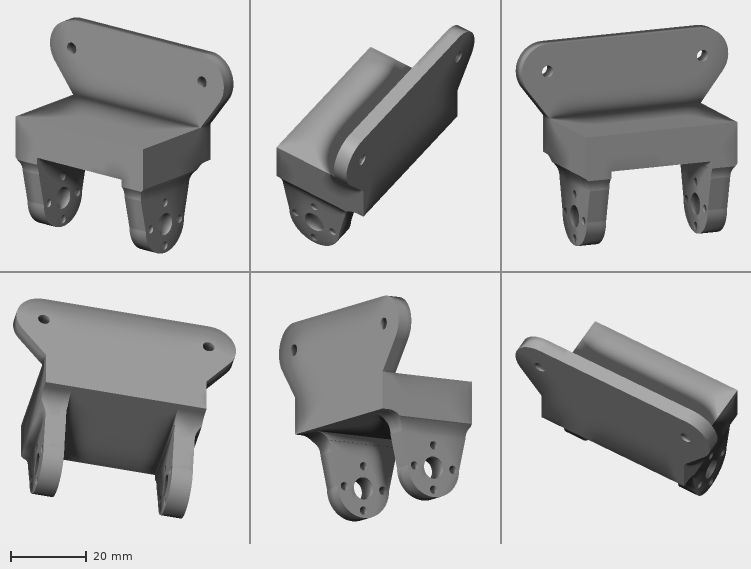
import cadquery as cq
import math

length = 60.0
depth = 28.0
height = 52.4

block_length = 44.0
block_bottom = 22.0
block_top = 32.05

plate_thickness = 4.0
plate_end_radius = 7.5
plate_hole_diameter = 3.2
plate_hole_x = length / 2 - plate_end_radius
plate_hole_z = height - plate_end_radius

lug_outer_x = 20.4
lug_inner_x = 14.75
lug_step = 0.2
lug_step_z = 20.0
lug_radius = 8.0
lug_root_half_width = 10.0
lug_center_y = -17.0
lug_center_z = lug_radius
root_radius = 5.05
root_bottom = block_bottom - root_radius

bore_diameter = 6.0
bolt_hole_diameter = 2.2
bolt_circle_radius = 6.0
bolt_count = 4

ARC_45 = math.sqrt(0.5)


def make_block():
    """Rectangular block across the middle of the part."""
    return (
        cq.Workplane("XY", origin=(0, -depth / 2, block_bottom))
        .rect(block_length, depth)
        .extrude(block_top - block_bottom)
    )


def make_plate():
    """Upright plate with round ends and sides running tangentially to the block."""
    corner_x = block_length / 2
    offset_x = corner_x - plate_hole_x
    offset_z = block_top - plate_hole_z
    corner_direction = math.atan2(offset_z, offset_x)
    tangent_angle = corner_direction + math.acos(plate_end_radius / math.hypot(offset_x, offset_z))
    tangent_x = plate_hole_x + plate_end_radius * math.cos(tangent_angle)
    tangent_z = plate_hole_z + plate_end_radius * math.sin(tangent_angle)

    plate = (
        cq.Workplane("XZ")
        .moveTo(-corner_x, block_top)
        .lineTo(corner_x, block_top)
        .lineTo(tangent_x, tangent_z)
        .threePointArc((length / 2, plate_hole_z), (plate_hole_x, height))
        .lineTo(-plate_hole_x, height)
        .threePointArc((-length / 2, plate_hole_z), (-tangent_x, tangent_z))
        .close()
        .extrude(plate_thickness)
    )
    holes = (
        cq.Workplane("XZ")
        .pushPoints([(-plate_hole_x, plate_hole_z), (plate_hole_x, plate_hole_z)])
        .circle(plate_hole_diameter / 2)
        .extrude(plate_thickness)
    )
    return plate.cut(holes)


def make_lug():
    """Right-hand lug: its side profile intersected with its front profile, so the root flares mitre."""
    flare_mid = root_radius * (1 - ARC_45)
    flare_mid_z = root_bottom + root_radius * ARC_45
    flare_half_width = lug_root_half_width + root_radius

    side_profile = (
        cq.Workplane("YZ", origin=(0, lug_center_y, 0))
        .moveTo(-lug_radius, lug_center_z)
        .threePointArc((0, 0), (lug_radius, lug_center_z))
        .lineTo(lug_root_half_width, root_bottom)
        .threePointArc((lug_root_half_width + flare_mid, flare_mid_z), (flare_half_width, block_bottom))
        .lineTo(-flare_half_width, block_bottom)
        .threePointArc((-lug_root_half_width - flare_mid, flare_mid_z), (-lug_root_half_width, root_bottom))
        .close()
        .extrude(length / 2)
    )
    front_profile = (
        cq.Workplane("XZ")
        .moveTo(lug_inner_x, 0)
        .lineTo(lug_outer_x, 0)
        .lineTo(lug_outer_x, root_bottom)
        .threePointArc((lug_outer_x + flare_mid, flare_mid_z), (lug_outer_x + root_radius, block_bottom))
        .lineTo(lug_inner_x - lug_step, block_bottom)
        .lineTo(lug_inner_x - lug_step, lug_step_z)
        .lineTo(lug_inner_x, lug_step_z)
        .close()
        .extrude(depth)
    )
    envelope = cq.Workplane("XY", origin=(0, -depth / 2, 0)).rect(block_length, depth).extrude(block_top)
    bore = (
        cq.Workplane("YZ", origin=(0, lug_center_y, lug_center_z))
        .circle(bore_diameter / 2)
        .extrude(length / 2)
    )
    bolt_holes = (
        cq.Workplane("YZ", origin=(0, lug_center_y, lug_center_z))
        .polarArray(bolt_circle_radius, 0, 360, bolt_count)
        .circle(bolt_hole_diameter / 2)
        .extrude(length / 2)
    )
    return side_profile.intersect(front_profile).intersect(envelope).cut(bore).cut(bolt_holes)


right_lug = make_lug()
left_lug = right_lug.mirror("YZ")
result = make_block().union(make_plate()).union(right_lug).union(left_lug)